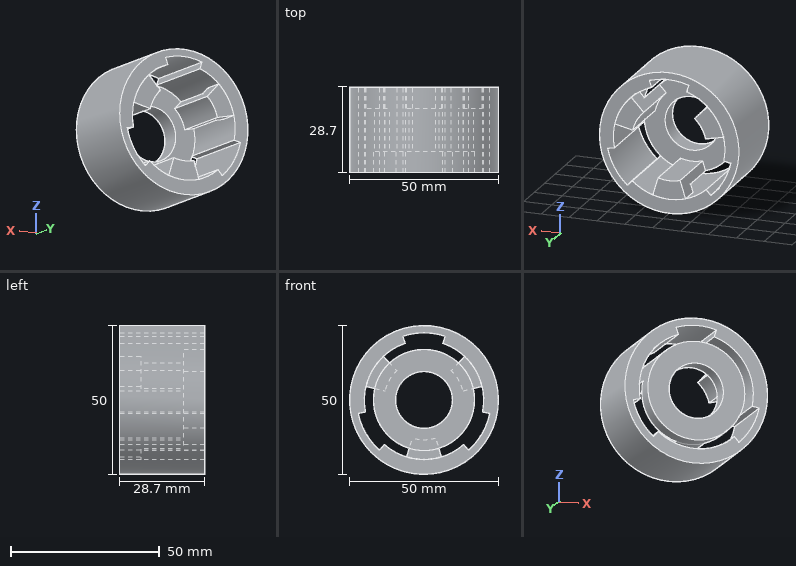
import cadquery as cq
import math

length = 28.72

housing_diameter = 50.05
housing_bore_diameter = 40.0
keyway_diameter = 45.0
keyway_angle = 36.6

flange_diameter = 34.0
flange_bore_diameter = 19.0
flange_thickness = 7.2
prong_inner_diameter = 26.8
prong_outer_diameter = flange_diameter
prong_angle = 34.2
prong_length = length - flange_thickness
hook_diameter = housing_bore_diameter
hook_length = 7.2

repeat_count = 3
pitch_angle = 360.0 / repeat_count
first_keyway_direction = 90.0
first_prong_direction = first_keyway_direction + pitch_angle / 2

front_y = -length / 2
rear_y = length / 2
flange_rear_y = front_y + flange_thickness
hook_front_y = rear_y - hook_length


def section_plane(y):
    """Plane across the axis at y: local x is X, local y is Z, extrusions of negative depth run to +Y."""
    return cq.Workplane("XZ", origin=(0, y, 0))


def ring(y, outer_diameter, inner_diameter, depth):
    """Ring running from y toward +Y."""
    profile = section_plane(y).circle(outer_diameter / 2).circle(inner_diameter / 2)
    return profile.extrude(-depth)


def ring_sector(y, outer_diameter, inner_diameter, depth, direction, angle):
    """Part of a ring with radial ends, centred on a direction measured from +X toward +Z."""

    def point(diameter, offset):
        bearing = math.radians(direction + offset)
        return (diameter / 2 * math.cos(bearing), diameter / 2 * math.sin(bearing))

    half = angle / 2
    profile = (
        section_plane(y)
        .moveTo(*point(inner_diameter, -half))
        .lineTo(*point(outer_diameter, -half))
        .threePointArc(point(outer_diameter, 0), point(outer_diameter, half))
        .lineTo(*point(inner_diameter, half))
        .threePointArc(point(inner_diameter, 0), point(inner_diameter, -half))
        .close()
    )
    return profile.extrude(-depth)


def make_housing():
    """Ring with keyways running its full length; each keyway cutter starts inside the bore."""
    body = ring(front_y, housing_diameter, housing_bore_diameter, length)
    for index in range(repeat_count):
        direction = first_keyway_direction + index * pitch_angle
        keyway = ring_sector(
            front_y, keyway_diameter, flange_diameter, length, direction, keyway_angle
        )
        body = body.cut(keyway)
    return body


def make_prong(direction):
    """Straight prong behind the flange, with a hook at its rear end that reaches the housing bore."""
    shank = ring_sector(
        flange_rear_y, prong_outer_diameter, prong_inner_diameter, prong_length, direction, prong_angle
    )
    hook = ring_sector(
        hook_front_y, hook_diameter, prong_inner_diameter, hook_length, direction, prong_angle
    )
    return shank.union(hook)


def make_insert():
    """Flange at the front with hooked prongs that reach back through the housing bore."""
    body = ring(front_y, flange_diameter, flange_bore_diameter, flange_thickness)
    for index in range(repeat_count):
        body = body.union(make_prong(first_prong_direction + index * pitch_angle))
    return body


housing = make_housing()
insert = make_insert()

result = cq.Compound.makeCompound([housing.val(), insert.val()])